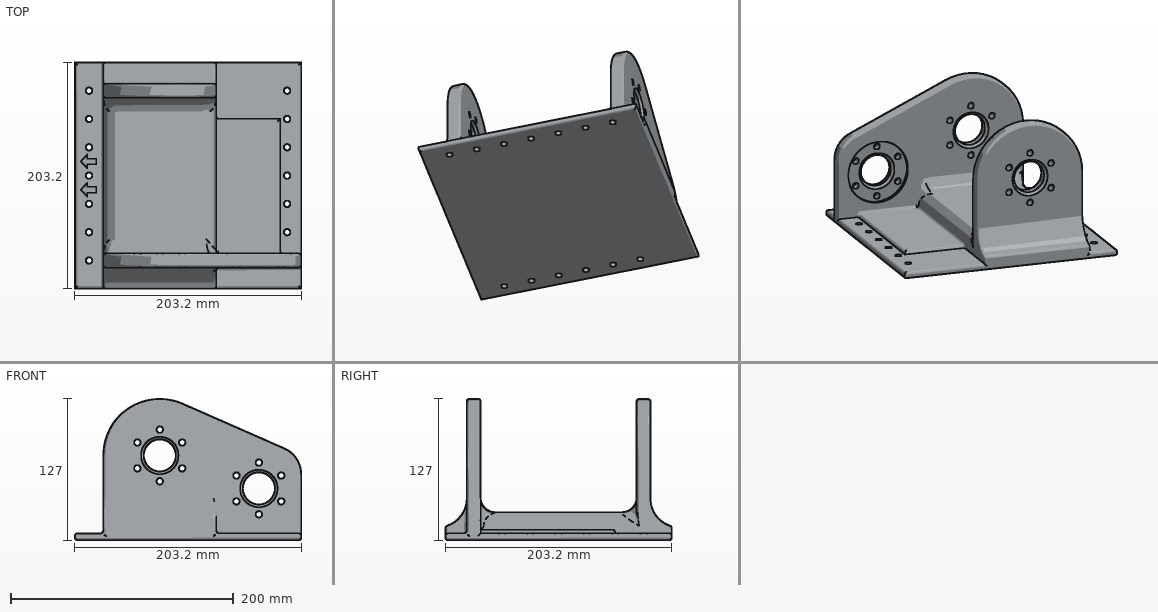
import math

import cadquery as cq

INCH = 25.4
base_size = 8 * INCH
base_thickness = INCH / 4
edge_radius = INCH / 10

block_start = INCH
block_end = 5 * INCH
block_height = INCH
block_radius = INCH / 2
block_axis_z = block_height - block_radius
block_axis_start = block_start + block_radius
block_axis_end = block_end - block_radius

wall_thickness = INCH / 2
wall_outer = 0.75 * INCH
wall_inner = wall_outer + wall_thickness
wall_height = 5 * INCH
wall_bottom = base_thickness / 2
wall_round_y = wall_inner - edge_radius

bearing_x = (block_start + block_end) / 2
crown_radius = (block_end - block_start) / 2
bearing_z = wall_height - crown_radius
second_x = 6.5 * INCH
second_z = bearing_z - (second_x - bearing_x) / 3
bore_radius = 1.125 * INCH / 2
bolt_circle_radius = 23.2
bolt_diameter = 7 / 32 * INCH
bolt_count = 6
recess_diameter = 2.25 * INCH
recess_depth = INCH / 8

shoulder_radius = INCH
shoulder_x = base_size - shoulder_radius
shoulder_z = second_z + INCH / 2

buttress_radius = INCH
buttress_edge_height = INCH / 2
buttress_axis_y = wall_outer - buttress_radius
buttress_axis_z = buttress_edge_height + math.sqrt(buttress_radius**2 - buttress_axis_y**2)

inner_fillet_radius = INCH / 2
fade_start_x = 118.0
blend_sections = 6
blend_stop = 0.97
blend_overlap = 1.5
fillet_overlap = 1.0

pad_end = 184.2
pad_back = 6 * INCH
pad_height = INCH / 8
pad_top = base_thickness + pad_height

mount_diameter = 7 / 32 * INCH
mount_inset = INCH / 2
mount_pitch = INCH
start_side_rows = range(1, 8)
end_side_rows = range(2, 8)
arrow_tip_x = 5.3
arrow_length = 14.0
arrow_head_length = 6.0
arrow_head_half_width = 6.3
arrow_shaft_half_width = 2.5
arrow_depth = INCH / 20
arrow_rows = (3.5, 4.5)


class EdgesWithin(cq.Selector):
    """Selects the edges lying entirely inside a box."""

    margin = 0.1

    def __init__(self, x_range, y_range, z_range):
        self.ranges = (x_range, y_range, z_range)

    def filter(self, edges):
        return [edge for edge in edges if self.holds(edge.BoundingBox())]

    def holds(self, bounds):
        spans = ((bounds.xmin, bounds.xmax), (bounds.ymin, bounds.ymax), (bounds.zmin, bounds.zmax))
        return all(
            low - self.margin <= span[0] and span[1] <= high + self.margin
            for span, (low, high) in zip(spans, self.ranges)
        )


def box(x_range, y_range, z_range):
    """Box between two limits on each axis."""
    sizes = [high - low for low, high in (x_range, y_range, z_range)]
    corner = (x_range[0], y_range[0], z_range[0])
    return cq.Workplane("XY").box(*sizes, centered=False).translate(corner)


def opposite_wall(shape):
    """Mirror across the middle of the base in Y."""
    return shape.mirror("XZ", (0, base_size / 2, 0))


def opposite_end(shape):
    """Mirror across the middle of the block in X."""
    return shape.mirror("YZ", (bearing_x, 0, 0))


def base_plate():
    plate = box((0, base_size), (0, base_size), (0, base_thickness))
    return plate.edges("not |Z").fillet(edge_radius)


def block():
    front = wall_outer + edge_radius
    body = box((block_start, block_end), (front, base_size - front), (wall_bottom, block_height))
    return body.edges("|Y and >Z").fillet(block_radius)


def pad():
    body = box((block_axis_end, pad_end), (wall_round_y, pad_back), (wall_bottom, pad_top))
    return body.edges("(>X or >Y) and >Z").fillet(edge_radius)


def wall_from(outline):
    """Wall of the given XZ outline with both faces rounded off at the rim."""
    wall = outline.close().extrude(-wall_thickness).translate((0, wall_outer, 0))
    return wall.faces("<Y or >Y").edges("not <Z").fillet(edge_radius)


def outline_start():
    return cq.Workplane("XZ").moveTo(block_start, wall_bottom).lineTo(block_start, bearing_z)


def crowned_wall():
    outline = outline_start().threePointArc((bearing_x, wall_height), (block_end, bearing_z))
    return wall_from(outline.lineTo(block_end, wall_bottom))


def long_wall():
    run = shoulder_x - bearing_x
    rise = shoulder_z - bearing_z
    tangent_angle = math.atan2(rise, run) + math.acos((crown_radius - shoulder_radius) / math.hypot(run, rise))

    def on_crown(angle):
        return bearing_x + crown_radius * math.cos(angle), bearing_z + crown_radius * math.sin(angle)

    def on_shoulder(angle):
        return shoulder_x + shoulder_radius * math.cos(angle), shoulder_z + shoulder_radius * math.sin(angle)

    outline = (
        outline_start()
        .threePointArc((bearing_x, wall_height), on_crown(tangent_angle))
        .lineTo(*on_shoulder(tangent_angle))
        .threePointArc(on_shoulder(tangent_angle / 2), (base_size, shoulder_z))
        .lineTo(base_size, wall_bottom)
    )
    return wall_from(outline)


def buttress():
    end_angle = math.atan2(buttress_edge_height - buttress_axis_z, -buttress_axis_y)
    arc_middle = (
        buttress_axis_y + buttress_radius * math.cos(end_angle / 2),
        buttress_axis_z + buttress_radius * math.sin(end_angle / 2),
    )
    body = (
        cq.Workplane("YZ", origin=(block_start, 0, 0))
        .moveTo(0, wall_bottom)
        .lineTo(0, buttress_edge_height)
        .threePointArc(arc_middle, (wall_outer, buttress_axis_z))
        .lineTo(wall_round_y, buttress_axis_z)
        .lineTo(wall_round_y, wall_bottom)
        .close()
        .extrude(block_end - block_start)
    )
    outside = cq.selectors.BoxSelector(
        (0, -edge_radius, base_thickness),
        (base_size, wall_outer - edge_radius, buttress_axis_z - edge_radius),
    )
    return body.edges(outside).fillet(edge_radius)


def with_foot_fillets(body):
    start_side = EdgesWithin((block_start, block_start), (0, base_size), (base_thickness, base_thickness))
    front_corner = EdgesWithin((block_end, base_size), (0, wall_outer), (base_thickness, buttress_axis_z))
    pad_sides = EdgesWithin((block_end, pad_end), (wall_inner, pad_back), (pad_top, pad_top))
    body = body.edges(start_side).fillet(edge_radius)
    outer_feet = body.edges(front_corner).filter(lambda edge: touches(edge, (block_end, wall_outer)))
    body = outer_feet.fillet(edge_radius)
    inner_feet = body.edges(pad_sides).filter(lambda edge: touches(edge, (block_end, wall_inner)))
    return inner_feet.fillet(edge_radius)


def touches(edge, place):
    """True for a straight edge with an end above or below a place in the XY plane."""
    ends = (edge.startPoint(), edge.endPoint())
    straight = edge.geomType() == "LINE"
    return straight and any(math.dist((end.x, end.y), place) < EdgesWithin.margin for end in ends)


def ring_end(axis_direction, centre, x_range, y_range):
    """Quarter ring carrying a foot fillet round the rounded rim of the base."""
    ring = cq.Solid.makeTorus(2 * edge_radius, edge_radius, centre, axis_direction)
    quarter = box(x_range, y_range, (centre.z - 2 * edge_radius, centre.z))
    return quarter.intersect(cq.Workplane(obj=ring))


def foot_fillet_ends():
    axis_z = base_thickness + edge_radius
    axis_x = block_start - edge_radius
    block_foot = ring_end(
        cq.Vector(0, 1, 0),
        cq.Vector(axis_x, edge_radius, axis_z),
        (axis_x, axis_x + 2 * edge_radius),
        (0, edge_radius),
    )
    axis_y = wall_outer - edge_radius
    wall_foot = ring_end(
        cq.Vector(1, 0, 0),
        cq.Vector(base_size - edge_radius, axis_y, axis_z),
        (base_size - edge_radius, base_size),
        (axis_y, axis_y + 2 * edge_radius),
    )
    return [block_foot, opposite_wall(block_foot), opposite_end(block_foot), wall_foot]


def straight_section():
    top = block_height + inner_fillet_radius
    inside_y = wall_inner - fillet_overlap
    inside_z = block_height - fillet_overlap
    return (
        cq.Workplane("YZ", origin=(block_axis_start, 0, 0))
        .moveTo(wall_inner, top)
        .radiusArc((wall_inner + inner_fillet_radius, block_height), -inner_fillet_radius)
        .lineTo(wall_inner + inner_fillet_radius, inside_z)
        .lineTo(inside_y, inside_z)
        .lineTo(inside_y, top)
        .close()
    )


def fillet_bend(turn):
    """Fillet following the rounded block edge through an angle in degrees."""
    return straight_section().revolve(turn, (0, block_axis_z, 0), (-1, block_axis_z, 0))


def ball_section(centre, wall_contact, block_contact):
    """Section of the blend: the ball's arc between its contacts, closed inside the material."""
    middle = (wall_contact + block_contact) * 0.5 - centre
    radius = (wall_contact - centre).Length
    outward = middle.normalized()
    inside = centre + outward * (radius**2 / middle.Length + blend_overlap)
    return cq.Wire.assembleEdges([
        cq.Edge.makeThreePointArc(wall_contact, centre + outward * radius, block_contact),
        cq.Edge.makeLine(block_contact, inside),
        cq.Edge.makeLine(inside, wall_contact),
    ])


def closing_blend():
    """The ball turns round the wall's rounded edge until both contacts meet on the block's side."""
    edge_x = block_start + edge_radius
    reach = inner_fillet_radius + edge_radius
    sections = []
    for step in range(blend_sections):
        turn = math.pi / 2 * blend_stop * step / (blend_sections - 1)
        x = edge_x - reach * math.sin(turn)
        y = wall_round_y + reach * math.cos(turn)
        z = block_axis_z + math.sqrt((inner_fillet_radius + block_radius) ** 2 - (block_axis_start - x) ** 2)
        centre = cq.Vector(x, y, z)
        to_wall = (cq.Vector(edge_x, wall_round_y, z) - centre).normalized()
        to_block = (cq.Vector(block_axis_start, y, block_axis_z) - centre).normalized()
        wall_contact = centre + to_wall * inner_fillet_radius
        block_contact = centre + to_block * inner_fillet_radius
        sections.append(ball_section(centre, wall_contact, block_contact))
    blend = cq.Workplane(obj=cq.Solid.makeLoft(sections))
    return blend.intersect(box((block_start, block_end), (0, base_size), (0, wall_height)))


def fading_blend():
    """The ball shrinks to the small edge radius while it rolls down the far side of the block."""
    start_angle = math.acos((fade_start_x - block_axis_end) / block_radius)
    sections = []
    for step in range(blend_sections):
        angle = start_angle * (1 - step / (blend_sections - 1))
        contact_x = block_axis_end + block_radius * math.cos(angle)
        faded = (contact_x - fade_start_x) / (block_end - fade_start_x)
        radius = inner_fillet_radius + (edge_radius - inner_fillet_radius) * faded
        y = wall_inner + radius
        away = cq.Vector(math.cos(angle), 0, math.sin(angle))
        centre = cq.Vector(block_axis_end, y, block_axis_z) + away * (block_radius + radius)
        wall_contact = centre - cq.Vector(0, radius, 0)
        sections.append(ball_section(centre, wall_contact, centre - away * radius))
    foot = cq.Solid.extrudeLinear(sections[-1], [], cq.Vector(0, 0, pad_top - block_axis_z))
    return cq.Workplane(obj=cq.Solid.makeLoft(sections)).union(cq.Workplane(obj=foot))


def inner_fillets():
    straight = straight_section().extrude(block_axis_end - block_axis_start)
    bend_angle = math.asin((block_radius - edge_radius) / (block_radius + inner_fillet_radius))
    closed_end = [fillet_bend(math.degrees(bend_angle)), closing_blend()]
    fade_angle = math.asin((fade_start_x - block_axis_end) / block_radius)
    faded_end = [opposite_end(fillet_bend(math.degrees(fade_angle))), fading_blend()]
    long_side = [straight] + closed_end + faded_end
    crowned_side = [straight] + closed_end + [opposite_end(piece) for piece in closed_end]
    return long_side + [opposite_wall(piece) for piece in crowned_side]


def bearing_hole(x, z, inner_face):
    """Bore with rounded rims ending at inner_face, and bolt holes through the whole wall."""
    rim = bore_radius + edge_radius
    cut = (
        cq.Workplane("XY", origin=(x, 0, z))
        .moveTo(0, wall_outer)
        .lineTo(rim, wall_outer)
        .radiusArc((bore_radius, wall_outer + edge_radius), -edge_radius)
        .lineTo(bore_radius, inner_face - edge_radius)
        .radiusArc((rim, inner_face), -edge_radius)
        .lineTo(0, inner_face)
        .close()
        .revolve(360, (0, 0, 0), (0, 1, 0))
    )
    bolts = (
        cq.Workplane("XZ", origin=(x, wall_inner, z))
        .polarArray(bolt_circle_radius, 90, 360, bolt_count)
        .circle(bolt_diameter / 2)
        .extrude(wall_thickness)
    )
    return cut.union(bolts)


def recessed_bearing_hole():
    """The second bearing hole, shortened by a round recess in the wall's inner face."""
    hole = bearing_hole(second_x, second_z, wall_inner - recess_depth)
    recess = (
        cq.Workplane("XZ", origin=(second_x, wall_inner, second_z))
        .circle(recess_diameter / 2)
        .extrude(recess_depth)
    )
    return hole.union(recess)


def mounting_holes():
    places = [(mount_inset, row * mount_pitch) for row in start_side_rows]
    places += [(base_size - mount_inset, row * mount_pitch) for row in end_side_rows]
    return cq.Workplane("XY").pushPoints(places).circle(mount_diameter / 2).extrude(pad_top)


def arrow(y):
    """Engraved arrow pointing to -X."""
    half_outline = [
        (arrow_head_length, arrow_head_half_width),
        (arrow_head_length, arrow_shaft_half_width),
        (arrow_length, arrow_shaft_half_width),
    ]
    other_half = [(x, -side) for x, side in reversed(half_outline)]
    return (
        cq.Workplane("XY", origin=(arrow_tip_x, y, base_thickness))
        .polyline([(0, 0)] + half_outline + other_half)
        .close()
        .extrude(-arrow_depth)
    )


def bracket():
    body = base_plate()
    additions = [block(), pad(), long_wall(), opposite_wall(crowned_wall())]
    additions += [buttress(), opposite_wall(buttress())]
    for piece in additions:
        body = body.union(piece)
    body = with_foot_fillets(body)
    for piece in foot_fillet_ends() + inner_fillets():
        body = body.union(piece)

    first_hole = bearing_hole(bearing_x, bearing_z, wall_inner)
    cuts = [first_hole, opposite_wall(first_hole), recessed_bearing_hole(), mounting_holes()]
    cuts += [arrow(row * mount_pitch) for row in arrow_rows]
    for piece in cuts:
        body = body.cut(piece)
    return body


result = bracket()